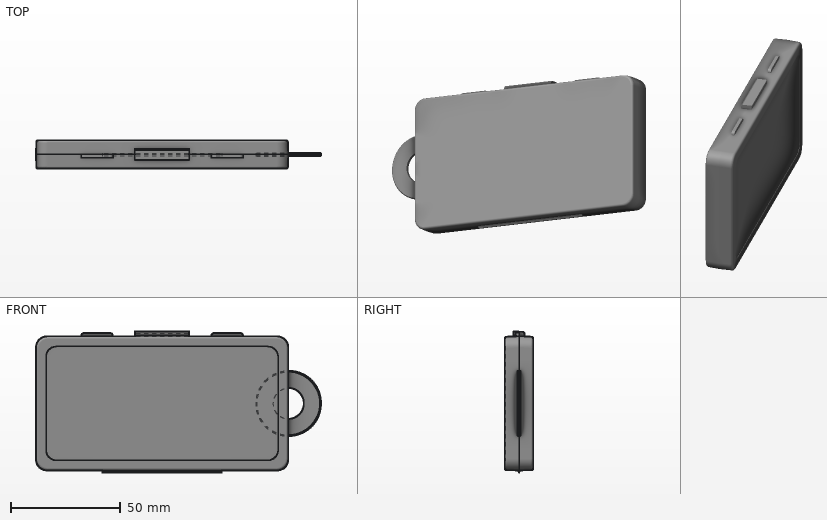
import cadquery as cq

TOTAL_LENGTH = 130.4
CASE_LENGTH = 115.4
CASE_HEIGHT = 61.4
CASE_DEPTH = 13.0
HALF_DEPTH = CASE_DEPTH / 2
DRAFT_ANGLE = 1.5
CORNER_RADIUS = 5.2
EDGE_RADIUS = 1.0
CASE_TOP = CASE_HEIGHT / 2
CASE_BOTTOM = -CASE_TOP
CASE_END = CASE_LENGTH / 2

LABEL_MARGIN = 4.7
LABEL_LENGTH = CASE_LENGTH - 2 * LABEL_MARGIN
LABEL_HEIGHT = CASE_HEIGHT - 2 * LABEL_MARGIN
LABEL_CORNER_RADIUS = 4.7
LABEL_DEPTH = 0.2

TAB_LENGTH = 14.6
TAB_RISE = 1.5
TAB_DEPTH = 1.4
TAB_OFFSET = 29.7
TAB_END_RADIUS = 1.5

LATCH_LENGTH = 24.8
LATCH_REACH = 2.6
LATCH_RISE = 2.2
LATCH_DROP = 0.1
LATCH_GAP = 0.3
LATCH_BACK_CHAMFER = 0.8
LATCH_LIP_CHAMFER = 0.1

HINGE_LENGTH = 54.5
HINGE_DROP = 0.9
HINGE_HALF_WIDTH = 0.5

RING_OUTER_RADIUS = TOTAL_LENGTH - CASE_LENGTH
RING_HOLE_RADIUS = 7.0
RING_THICKNESS = 1.7
RING_CHAMFER = 0.5

ROOT = 1.3


def plain_half():
    """Front half shell, widest at the seam, with rounded corners and face edge."""
    return (
        cq.Workplane("XZ")
        .rect(CASE_LENGTH, CASE_HEIGHT)
        .extrude(HALF_DEPTH, taper=DRAFT_ANGLE)
        .edges("not (|X or |Z)")
        .fillet(CORNER_RADIUS)
        .faces("<Y")
        .edges()
        .fillet(EDGE_RADIUS)
    )


def label_recess():
    """Rounded rectangle to cut from the front face."""
    return (
        cq.Workplane("XZ", origin=(0, LABEL_DEPTH - HALF_DEPTH, 0))
        .rect(LABEL_LENGTH, LABEL_HEIGHT)
        .extrude(LABEL_DEPTH)
        .edges("|Y")
        .fillet(LABEL_CORNER_RADIUS)
    )


def tab(x):
    """Low tab with rounded ends, its back face on the seam."""
    return (
        cq.Workplane("XY", origin=(x, -TAB_DEPTH / 2, CASE_TOP - ROOT))
        .box(TAB_LENGTH, TAB_DEPTH, ROOT + TAB_RISE, centered=(True, True, False))
        .edges("|Y and >Z")
        .fillet(TAB_END_RADIUS)
    )


def latch():
    """Bar whose top climbs to its lip, with clearance under the overhanging part."""
    lip_top = CASE_TOP + LATCH_RISE
    back_top = lip_top - LATCH_DROP
    return (
        cq.Workplane("YZ", origin=(-LATCH_LENGTH / 2, 0, 0))
        .moveTo(LATCH_REACH, CASE_TOP - ROOT)
        .lineTo(LATCH_REACH, back_top - LATCH_BACK_CHAMFER)
        .lineTo(LATCH_REACH - LATCH_BACK_CHAMFER, back_top)
        .lineTo(-LATCH_REACH, lip_top)
        .lineTo(-LATCH_REACH, CASE_TOP + LATCH_GAP)
        .lineTo(0, CASE_TOP)
        .lineTo(0, CASE_TOP - ROOT)
        .close()
        .extrude(LATCH_LENGTH)
        .faces("<Y")
        .edges()
        .chamfer(LATCH_LIP_CHAMFER)
    )


def hinge_leaf(side):
    """Half of the hinge ridge: side is -1 for the front half, 1 for the back half."""
    root_z = CASE_BOTTOM + ROOT
    return (
        cq.Workplane("YZ", origin=(-HINGE_LENGTH / 2, 0, 0))
        .moveTo(0, CASE_BOTTOM - HINGE_DROP)
        .lineTo(side * HINGE_HALF_WIDTH, CASE_BOTTOM)
        .lineTo(side * HINGE_HALF_WIDTH, root_z)
        .lineTo(0, root_z)
        .close()
        .extrude(HINGE_LENGTH)
    )


def make_ring():
    """Flat ring with a chamfered rim and a plain hole."""
    disc = (
        cq.Workplane("XZ", origin=(CASE_END, RING_THICKNESS / 2, 0))
        .circle(RING_OUTER_RADIUS)
        .extrude(RING_THICKNESS)
        .edges()
        .chamfer(RING_CHAMFER)
    )
    return disc.faces("<Y").workplane(origin=(CASE_END, 0, 0)).hole(2 * RING_HOLE_RADIUS)


def make_front_half(ring):
    """Front half with label recess, tabs, hinge leaf and a seat for the ring."""
    half = plain_half().cut(label_recess()).union(hinge_leaf(-1))
    for x in (-TAB_OFFSET, TAB_OFFSET):
        half = half.union(tab(x))
    return half.cut(ring)


def make_back_half(ring):
    """Back half with latch, hinge leaf and a seat for the ring."""
    half = plain_half().mirror("XZ").union(latch()).union(hinge_leaf(1))
    return half.cut(ring)


hanging_ring = make_ring()
front_half = make_front_half(hanging_ring)
back_half = make_back_half(hanging_ring)

bodies = [front_half, back_half, hanging_ring]
result = cq.Compound.makeCompound([body.solids().val() for body in bodies])